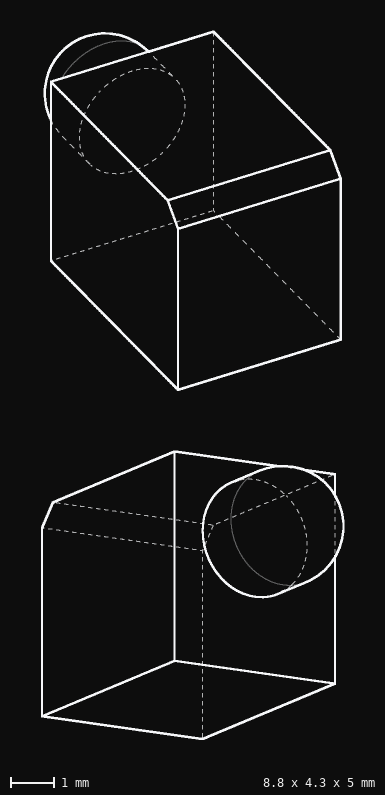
import cadquery as cq
import math

body_length = 6.1
body_width = 4.3
body_height = 5.0
chamfer_size = 0.5

lens_diameter = 2.8
lens_projection = 2.7
lens_axis_height = 3.2

lens_radius = lens_diameter / 2
lens_straight_length = lens_projection - lens_radius


def make_housing():
    """Block with its -X face at X = 0, centred on Y, standing on Z = 0."""
    block = cq.Workplane("XY").box(
        body_length, body_width, body_height, centered=(False, True, False)
    )
    return block.faces(">X").edges(">Z").chamfer(chamfer_size)


def make_lens():
    """Cylinder with a hemispherical tip, revolved about its axis along X."""
    arc_middle = lens_radius * math.sqrt(0.5)
    half_profile = (
        cq.Workplane("XY", origin=(0, 0, lens_axis_height))
        .moveTo(0, 0)
        .lineTo(0, lens_radius)
        .lineTo(-lens_straight_length, lens_radius)
        .threePointArc(
            (-lens_straight_length - arc_middle, arc_middle),
            (-lens_projection, 0),
        )
        .close()
    )
    return half_profile.revolve(360, (0, 0, 0), (1, 0, 0))


result = make_housing().union(make_lens())